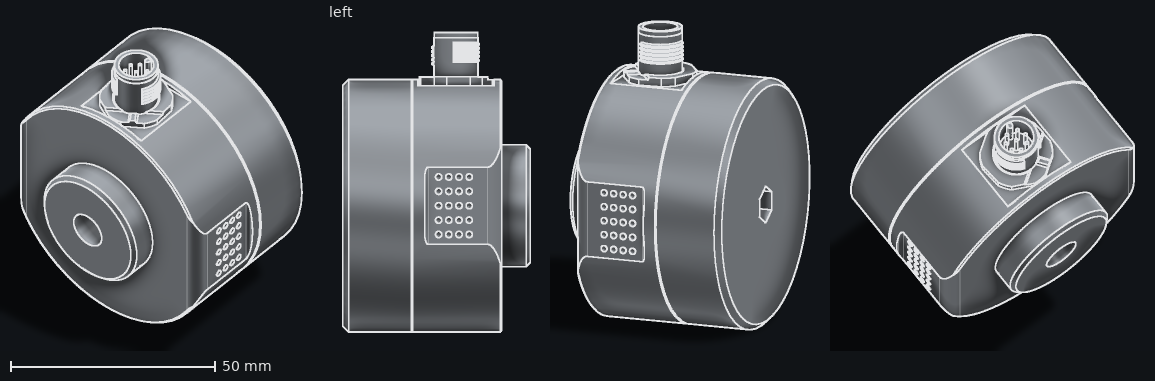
import cadquery as cq
import math

body_dia = 62.0
body_radius = body_dia / 2
body_length = 39.0
rear_chamfer = 1.5
front_chamfer = 0.45
seam_y = 21.9
seam_width = 0.3
seam_depth = 0.2

boss_dia = 30.0
boss_chamfer = 1.0
boss_length = 7.0
bore_dia = 9.0
hex_flats = 8.0

grip_x = 29.5
grip_end_y = 18.95
grip_outer_fillet = 3.6
grip_inner_fillet = 0.9
dimple_dia = 1.55
dimple_columns = 4
dimple_rows = 5
dimple_pitch_y = 2.5
dimple_pitch_z = 3.5
dimple_center_y = 11.75

seat_z = 29.45
seat_length = 18.65
plug_y = 11.25

nut_top_z = 31.6
nut_flats = 17.0
nut_corner_dia = 17.9
nut_turn = 4.5
step_depth = 0.65
step_distance = 4.4
step_slope = 0.4
ridge_base_width = 2.2
ridge_top_width = 1.2
countersink_dia = 11.6
countersink_depth = 0.4

plug_top_z = 42.45
plug_dia = 10.9
tip_dia = 10.7
tip_length = 1.25
socket_dia = 8.5
socket_floor_z = 34.15
key_angle = 78.5
key_width = 1.2
key_tip_radius = 2.8
key_top_gap = 0.6
pin_dia = 0.8
pin_circle_radius = 2.7
pin_count = 7
pin_top_gap = 2.3
pin_spacing = 49.2

thread_dia = 12.0
thread_pitch = 1.0
thread_turns = 5
thread_root_width = 0.95
thread_crest_width = 0.2
thread_sectors = [(173, 253, 39.6), (-35, 92, 38.8)]

hex_sector = 60
hex_turn = hex_sector / 2
embed = 0.2


def y_cylinder(diameter, start, end):
    return cq.Workplane("XZ", origin=(0, start, 0)).circle(diameter / 2).extrude(start - end)


def z_cylinder(diameter, start, end):
    return cq.Workplane("XY", origin=(0, 0, start)).circle(diameter / 2).extrude(end - start)


def make_housing():
    housing = y_cylinder(body_dia, 0, body_length)
    housing = housing.faces(">Y").chamfer(rear_chamfer)
    housing = housing.faces("<Y").chamfer(front_chamfer)
    groove = y_cylinder(body_dia + embed, seam_y, seam_y + seam_width)
    groove = groove.cut(y_cylinder(body_dia - 2 * seam_depth, seam_y, seam_y + seam_width))
    return housing.cut(groove)


def grip_cutter():
    """Material removed beside the +X flat, with both of its rounded runs."""
    outside = body_radius + embed
    r_in = grip_inner_fillet
    r_out = grip_outer_fillet
    arc_sag = 1 - math.sqrt(0.5)
    outline = (
        cq.Workplane("XY")
        .moveTo(outside, grip_end_y)
        .lineTo(grip_x + r_in, grip_end_y)
        .threePointArc(
            (grip_x + r_in * arc_sag, grip_end_y - r_in * arc_sag),
            (grip_x, grip_end_y - r_in),
        )
        .lineTo(grip_x, r_out)
        .threePointArc(
            (grip_x - r_out * arc_sag, r_out * arc_sag),
            (grip_x - r_out, 0),
        )
        .lineTo(grip_x - r_out, -embed)
        .lineTo(outside, -embed)
        .close()
    )
    return outline.extrude(body_radius, both=True)


def grip_dimples():
    """Grid of round dimples on the +X flat."""
    spots = [
        (
            grip_x,
            dimple_center_y + (column - (dimple_columns - 1) / 2) * dimple_pitch_y,
            (row - (dimple_rows - 1) / 2) * dimple_pitch_z,
        )
        for column in range(dimple_columns)
        for row in range(dimple_rows)
    ]
    dimples = cq.Workplane("XY")
    for spot in spots:
        dimples = dimples.add(cq.Workplane("XY").sphere(dimple_dia / 2).translate(spot))
    return dimples.combine()


def make_nut():
    height = nut_top_z - seat_z + embed
    hexagon = (
        cq.Workplane("XY", origin=(0, 0, seat_z - embed))
        .polygon(6, nut_flats / math.cos(math.radians(hex_turn)))
        .extrude(height)
        .rotate((0, 0, 0), (0, 0, 1), hex_turn)
    )
    nut = hexagon.intersect(z_cylinder(nut_corner_dia, seat_z - embed, nut_top_z))

    flare = (
        cq.Workplane("XY", origin=(0, 0, nut_top_z))
        .circle(countersink_dia / 2)
        .extrude(-countersink_depth, taper=45)
    )
    nut = nut.cut(flare)

    reach = nut_corner_dia
    step_z = nut_top_z - step_depth
    lowered = (
        cq.Workplane("XZ")
        .polyline([
            (step_distance, nut_top_z),
            (step_distance + step_slope, step_z),
            (reach, step_z),
            (reach, nut_top_z),
        ])
        .close()
        .extrude(reach, both=True)
    )
    ridge = (
        cq.Workplane("YZ")
        .polyline([
            (-ridge_base_width / 2, step_z),
            (ridge_base_width / 2, step_z),
            (ridge_top_width / 2, nut_top_z),
            (-ridge_top_width / 2, nut_top_z),
        ])
        .close()
        .extrude(reach)
    )
    lowered = lowered.cut(ridge).rotate((0, 0, 0), (0, 0, 1), -hex_sector)
    return nut.cut(lowered).rotate((0, 0, 0), (0, 0, 1), nut_turn)


def thread_ridges(start_angle, end_angle, top_ridge_z):
    """Parallel thread ridges on one sector of the plug."""
    root = plug_dia / 2 - embed
    sector = cq.Workplane("XY")
    for turn in range(thread_turns):
        z = top_ridge_z - turn * thread_pitch
        ridge = (
            cq.Workplane("XZ")
            .polyline([
                (root, z - thread_root_width / 2),
                (plug_dia / 2, z - thread_root_width / 2),
                (thread_dia / 2, z - thread_crest_width / 2),
                (thread_dia / 2, z + thread_crest_width / 2),
                (plug_dia / 2, z + thread_root_width / 2),
                (root, z + thread_root_width / 2),
            ])
            .close()
            .revolve(end_angle - start_angle, (0, 0, 0), (0, 1, 0))
            .rotate((0, 0, 0), (0, 0, 1), start_angle)
        )
        sector = sector.add(ridge)
    return sector.combine()


def make_plug():
    plug = z_cylinder(plug_dia, seat_z - embed, plug_top_z - tip_length)
    plug = plug.union(z_cylinder(tip_dia, plug_top_z - tip_length, plug_top_z))
    for start_angle, end_angle, top_ridge_z in thread_sectors:
        plug = plug.union(thread_ridges(start_angle, end_angle, top_ridge_z))
    plug = plug.cut(z_cylinder(socket_dia, socket_floor_z, plug_top_z))
    return plug.union(make_key()).union(make_pins())


def make_key():
    """Coding key with a round nose on the socket wall."""
    nose_x = key_tip_radius + key_width / 2
    wall_x = socket_dia / 2 + embed
    bottom = socket_floor_z - embed
    height = plug_top_z - key_top_gap - bottom
    key = (
        cq.Workplane("XY", origin=(0, 0, bottom))
        .moveTo(wall_x, -key_width / 2)
        .lineTo(nose_x, -key_width / 2)
        .threePointArc((key_tip_radius, 0), (nose_x, key_width / 2))
        .lineTo(wall_x, key_width / 2)
        .close()
        .extrude(height)
    )
    return key.rotate((0, 0, 0), (0, 0, 1), key_angle)


def make_pins():
    """One central pin and a ring of pins that leaves a gap at the key."""
    spots = [(0, 0)]
    for index in range(pin_count):
        angle = math.radians(key_angle + 180 + (index - (pin_count - 1) / 2) * pin_spacing)
        spots.append((pin_circle_radius * math.cos(angle), pin_circle_radius * math.sin(angle)))
    bottom = socket_floor_z - embed
    height = plug_top_z - pin_top_gap - bottom
    pins = cq.Workplane("XY", origin=(0, 0, bottom)).pushPoints(spots)
    return pins.circle(pin_dia / 2).extrude(height)


def make_drive_hole():
    """Round bore from the front up to the seam, hexagonal hole from there to the rear face."""
    hexagon = (
        cq.Workplane("XZ", origin=(0, seam_y, 0))
        .polygon(6, hex_flats / math.cos(math.radians(hex_turn)))
        .extrude(seam_y - body_length)
        .rotate((0, 0, 0), (0, 1, 0), hex_turn)
    )
    return y_cylinder(bore_dia, -boss_length, seam_y).union(hexagon)


housing = make_housing()
for tool in (grip_cutter(), grip_dimples()):
    housing = housing.cut(tool).cut(tool.mirror("YZ"))

seat = cq.Workplane("XY", origin=(0, plug_y, seat_z)).rect(body_dia, seat_length).extrude(body_radius)
housing = housing.cut(seat)

boss = y_cylinder(boss_dia, -boss_length, embed).faces("<Y").chamfer(boss_chamfer)
housing = housing.union(boss).cut(make_drive_hole())

connector = make_nut().union(make_plug()).translate((0, plug_y, 0))

result = housing.union(connector).clean()